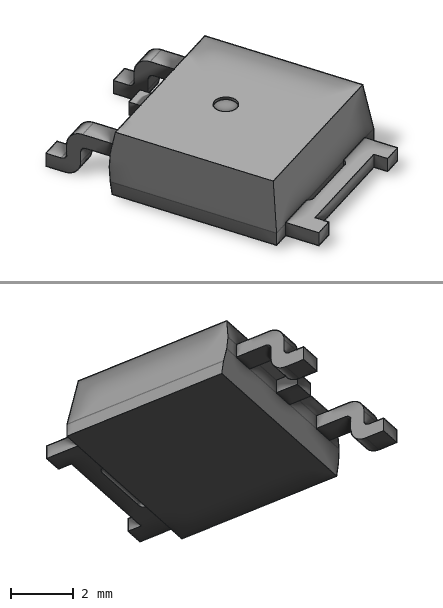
import cadquery as cq

overall_length = 9.91
overall_height = 2.47
lead_tip_x = -overall_length / 2
tab_end_x = overall_length / 2

housing_width = 6.58
housing_bottom_z = 0.2
housing_nose_x = -2.36
housing_back_x = 3.755
housing_crease_z = 0.68
housing_bottom_front_x = -2.215
housing_top_front_x = -2.235
draft_inset = 0.26

sheet_thickness = 0.51
lead_width = 0.76
lead_pitch = 2.286
lead_top_z = 1.69
lead_bottom_z = lead_top_z - sheet_thickness
riser_outer_x = -4.2
riser_inner_x = riser_outer_x + sheet_thickness
bend_inner_radius = 0.2
bend_outer_radius = 0.58
centre_lead_tip_x = -3.17

tab_width = 5.34
tab_arm_width = 0.68
tab_arm_length = 0.5
tab_relief_length = 2.5
tab_relief_depth = 0.15
tab_relief_radius = 0.2

mark_x = 0.15
mark_diameter = 0.81
mark_depth = 0.1


def make_housing():
    """Moulded block: a side profile trimmed by an end profile that leans in above the crease."""
    side_profile = [
        (housing_bottom_front_x, housing_bottom_z),
        (housing_back_x, housing_bottom_z),
        (housing_back_x, housing_crease_z),
        (housing_back_x - draft_inset, overall_height),
        (housing_top_front_x, overall_height),
        (housing_nose_x, lead_top_z),
        (housing_nose_x, lead_bottom_z),
    ]
    half_width = housing_width / 2
    top_half_width = half_width - draft_inset
    end_profile = [
        (-half_width, housing_bottom_z),
        (half_width, housing_bottom_z),
        (half_width, housing_crease_z),
        (top_half_width, overall_height),
        (-top_half_width, overall_height),
        (-half_width, housing_crease_z),
    ]
    block = cq.Workplane("XZ").polyline(side_profile).close().extrude(half_width, both=True)
    drafted_bar = cq.Workplane("YZ").polyline(end_profile).close().extrude(overall_length, both=True)
    mark = (
        cq.Workplane("XY", origin=(mark_x, 0, overall_height))
        .circle(mark_diameter / 2)
        .extrude(-mark_depth)
    )
    return block.intersect(drafted_bar).cut(mark)


def make_formed_lead(centre_y):
    """Outer lead, bent down from the housing and out again into a foot."""
    inner, outer = bend_inner_radius, bend_outer_radius
    foot_top_z = sheet_thickness
    return (
        cq.Workplane("XZ", origin=(0, centre_y, 0))
        .moveTo(lead_tip_x, 0)
        .lineTo(riser_inner_x - outer, 0)
        .radiusArc((riser_inner_x, outer), -outer)
        .lineTo(riser_inner_x, lead_bottom_z - inner)
        .radiusArc((riser_inner_x + inner, lead_bottom_z), inner)
        .lineTo(housing_nose_x, lead_bottom_z)
        .lineTo(housing_nose_x, lead_top_z)
        .lineTo(riser_outer_x + outer, lead_top_z)
        .radiusArc((riser_outer_x, lead_top_z - outer), -outer)
        .lineTo(riser_outer_x, foot_top_z + inner)
        .radiusArc((riser_outer_x - inner, foot_top_z), inner)
        .lineTo(lead_tip_x, foot_top_z)
        .close()
        .extrude(lead_width / 2, both=True)
    )


def make_centre_lead():
    """Straight stub of the cropped middle lead."""
    return cq.Workplane("XY").box(
        housing_nose_x - centre_lead_tip_x, lead_width, sheet_thickness, centered=(False, True, False)
    ).translate((centre_lead_tip_x, 0, lead_bottom_z))


def make_tab(housing):
    """Flat tab with two end arms and a shallow relief, trimmed to fit the back of the housing."""
    tab_front_x = housing_back_x - draft_inset
    plate = cq.Workplane("XY").box(
        tab_end_x - tab_front_x, tab_width, sheet_thickness, centered=(False, True, False)
    ).translate((tab_front_x, 0, housing_bottom_z))
    arm_gap = cq.Workplane("XY").box(
        tab_arm_length, tab_width - 2 * tab_arm_width, sheet_thickness, centered=(False, True, False)
    ).translate((tab_end_x - tab_arm_length, 0, housing_bottom_z))
    relief = (
        cq.Workplane("XY", origin=(housing_back_x, 0, housing_bottom_z))
        .rect(2 * tab_relief_depth, tab_relief_length)
        .extrude(sheet_thickness)
        .edges("|Z and >X")
        .fillet(tab_relief_radius)
    )
    return plate.cut(arm_gap).cut(relief).cut(housing)


housing = make_housing()
formed_leads = [make_formed_lead(side * lead_pitch) for side in (-1, 1)]
centre_lead = make_centre_lead()
tab = make_tab(housing)

result = cq.Compound.makeCompound(
    [housing.val(), *[lead.val() for lead in formed_leads], centre_lead.val(), tab.val()]
)